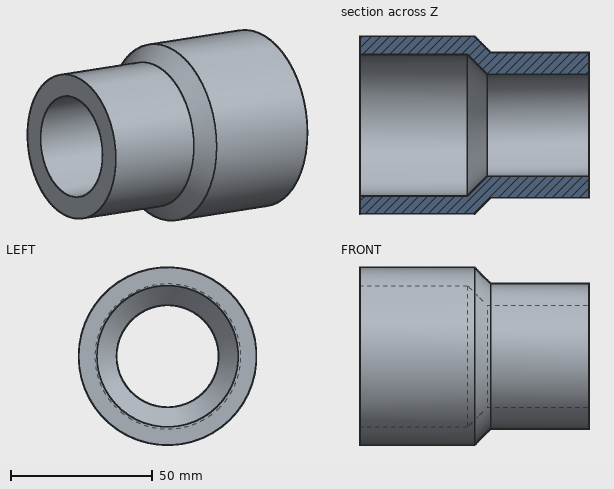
import cadquery as cq

total_length = 81.0

large_diameter = 63.0
small_diameter = 51.5
large_body_length = 40.5

large_bore_diameter = 50.0
small_bore_diameter = 36.0
large_bore_depth = 38.0


def stepped_round(large_d, small_d, large_length):
    """Solid of full length: large cylinder, 45 degree cone, small cylinder along +X."""
    large_radius = large_d / 2
    small_radius = small_d / 2
    cone_length = large_radius - small_radius
    return (
        cq.Workplane("XY")
        .lineTo(0, large_radius)
        .lineTo(large_length, large_radius)
        .lineTo(large_length + cone_length, small_radius)
        .lineTo(total_length, small_radius)
        .lineTo(total_length, 0)
        .close()
        .revolve(360, (0, 0, 0), (1, 0, 0))
    )


outer_body = stepped_round(large_diameter, small_diameter, large_body_length)
stepped_bore = stepped_round(large_bore_diameter, small_bore_diameter, large_bore_depth)

result = outer_body.cut(stepped_bore)